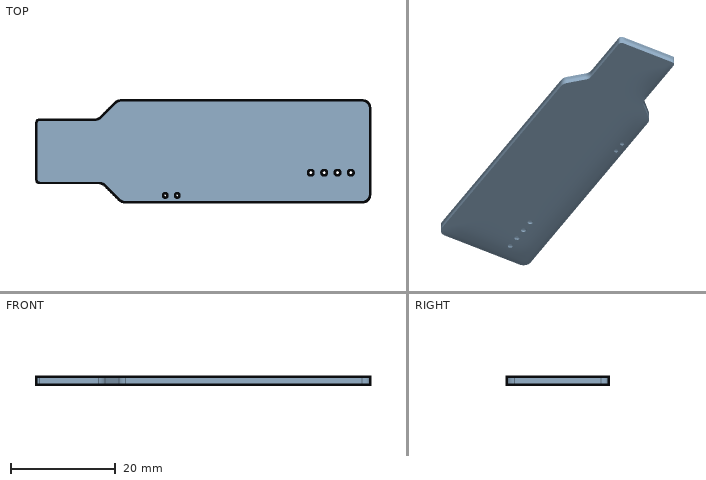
import cadquery as cq

length = 63.65
width = 19.5
thickness = 1.6

neck_width = 12.1
neck_bottom = (width - neck_width) / 2
neck_top = neck_bottom + neck_width
shoulder_rise = neck_bottom
lower_neck_length = 12.6
upper_neck_length = 11.85

neck_corner_radius = 0.65
shoulder_radius = 1.7
end_corner_radius = 1.5

large_hole_diameter = 1.0
large_hole_count = 4
large_hole_pitch = 2.55
large_row_x = 52.3
large_row_y = 5.65

small_hole_diameter = 0.8
small_hole_count = 2
small_hole_pitch = 2.3
small_row_x = 24.6
small_row_y = 1.35


def round_corners(body, points, radius):
    """Round the vertical edges standing at the given outline points."""
    for x, y in points:
        edge = cq.selectors.NearestToPointSelector((x, y, thickness / 2))
        body = body.edges("|Z").edges(edge).fillet(radius)
    return body


def drill_row(body, start_x, y, pitch, count, diameter):
    """Cut a row of through holes running along X."""
    centers = [(start_x + i * pitch, y) for i in range(count)]
    holes = cq.Workplane("XY").pushPoints(centers).circle(diameter / 2).extrude(thickness)
    return body.cut(holes)


neck_corners = [(0, neck_bottom), (0, neck_top)]
lower_shoulder = [
    (lower_neck_length, neck_bottom),
    (lower_neck_length + shoulder_rise, 0),
]
upper_shoulder = [
    (upper_neck_length + shoulder_rise, width),
    (upper_neck_length, neck_top),
]
end_corners = [(length, 0), (length, width)]

outline = [neck_corners[0]] + lower_shoulder + end_corners + upper_shoulder + [neck_corners[1]]
plate = cq.Workplane("XY").polyline(outline).close().extrude(thickness)
plate = round_corners(plate, neck_corners, neck_corner_radius)
plate = round_corners(plate, lower_shoulder + upper_shoulder, shoulder_radius)
plate = round_corners(plate, end_corners, end_corner_radius)

plate = drill_row(
    plate, large_row_x, large_row_y, large_hole_pitch, large_hole_count, large_hole_diameter
)
result = drill_row(
    plate, small_row_x, small_row_y, small_hole_pitch, small_hole_count, small_hole_diameter
)